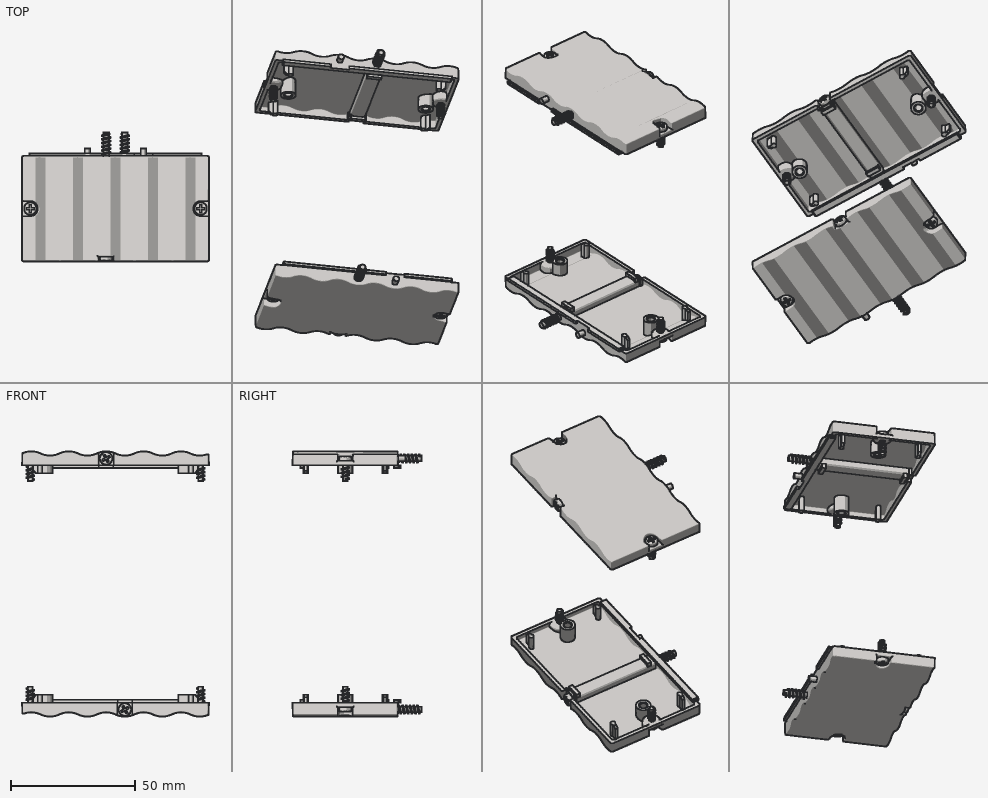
import cadquery as cq
total_height = 107.0
cover_width = 75.4
cover_depth = 42.7
cover_height = 5.7
rim_level = total_height / 2 - cover_height
mid_depth = cover_depth / 2

wave_count = 10
wave_half = cover_width / wave_count
wave_sag = 0.9
wall = 1.6
skin = 2.0
draft_angle = 1.5
corner_radius = 0.9
edge_round = 0.5
floor_round = 0.3
edge_search = 0.3

tongue_width = 69.4
tongue_height = 1.2
tongue_front = 40.9
tongue_back = 43.7
tongue_chamfer = 0.4

peg_x = 1.5 * wave_half
peg_diameter = 2.4
peg_tip = 45.7

head_diameter = 5.0
head_height = 1.7
head_round = 0.6
cross_span = 3.2
cross_arm = 0.7
cross_depth = 1.0
side_core = 2.0
side_thread = 3.2
long_core = 2.4
long_thread = 3.5
thread_pitch = 1.5
thread_base = 0.6
thread_crest = 0.2
thread_sink = 0.1
side_tip = -6.4
long_tip = 52.1

seat_width = 6.0
seat_wall = 0.7
side_screw_x = 34.3
side_seat_floor = 1.9
side_seat_round = 1.3
long_screw_x = -wave_half / 2
long_screw_z = 2.8
long_seat_depth = 2.0
long_cross_turn = 30.0

standoff_height = 3.2
boss_x = 28.2
boss_diameter = 6.0
boss_hole = 3.0
boss_hole_chamfer = 0.3
boss_hole_bottom = 2.7
pin_x = 30.5
pin_spacing = 32.0
pin_diameter = 2.0
rib_end_x = 33.2
rib_thickness = 1.2
rib_chamfer = 1.1
ridge_width = 6.2
ridge_round = 1.5
ridge_level = 0.0
block_width = 5.8
block_depth = 1.7
block_front = 3.2
block_rear = 39.0


def block(x_low, x_high, y_low, y_high, z_low, z_high):
    """Box given by its limits along each axis."""
    size = cq.Workplane("XY").box(x_high - x_low, y_high - y_low, z_high - z_low, centered=False)
    return size.translate((x_low, y_low, z_low))


def wave_prism(inset, bottom):
    """Solid under the wavy top, lowered by inset, running the whole depth down to the bottom."""
    inflection = cover_height - wave_sag - inset
    half = cover_width / 2
    profile = cq.Workplane("XZ").moveTo(-half, bottom).lineTo(-half, inflection)
    for index in range(wave_count):
        start = -half + index * wave_half
        sag = wave_sag if index % 2 == 0 else -wave_sag
        profile = profile.threePointArc(
            (start + wave_half / 2, inflection + sag), (start + wave_half, inflection)
        )
    return profile.lineTo(half, bottom).close().extrude(-cover_depth)


def drafted_block(inset):
    """Round-cornered block that narrows away from the rim, inset from the outer walls."""
    return (
        cq.Workplane("XY")
        .center(0, mid_depth)
        .sketch()
        .rect(cover_width - 2 * inset, cover_depth - 2 * inset)
        .vertices()
        .fillet(corner_radius)
        .finalize()
        .extrude(2 * cover_height, taper=draft_angle)
    )


def side_slot(side, radius, z_low, z_high):
    """U-shaped prism around a side screw, open towards the side wall."""
    x = side * side_screw_x
    outside = side * cover_width
    arc = cq.Workplane("XY").center(x, mid_depth).circle(radius).extrude(z_high - z_low)
    mouth = block(
        min(x, outside), max(x, outside), mid_depth - radius, mid_depth + radius, 0, z_high - z_low
    )
    return arc.union(mouth).translate((0, 0, z_low))


def wave_border(shape):
    """Edges that bound the wavy face as a whole, without the lines between its arcs."""
    waves = [
        face for face in shape.faces("%CYLINDER").vals()
        if face.BoundingBox().ylen > mid_depth
    ]
    edges = [edge for face in waves for edge in face.Edges()]
    return [edge for edge in edges if sum(edge.isSame(other) for other in edges) == 1]


def edges_in(shape, low, high):
    """Edges whose middle lies between two opposite corners of a box."""
    return shape.edges(cq.selectors.BoxSelector(low, high)).vals()


def outer_shape():
    """Solid cover envelope with the screw seats cut in and its outer edges rounded."""
    shape = wave_prism(0, 0).intersect(drafted_block(0))
    for side in (-1, 1):
        shape = shape.cut(side_slot(side, seat_width / 2, side_seat_floor, 2 * cover_height))
    shape = shape.cut(block(
        long_screw_x - seat_width / 2, long_screw_x + seat_width / 2,
        -1.1, long_seat_depth, -1.1, 2 * cover_height,
    ))
    reach = seat_width / 2 + edge_search
    mouth_edges = []
    for side in (-1, 1):
        x = side * cover_width / 2
        mouth_edges += edges_in(
            shape, (x - edge_search, mid_depth - reach, side_seat_floor - edge_search),
            (x + edge_search, mid_depth + reach, cover_height),
        )
    mouth_edges += edges_in(
        shape, (long_screw_x - reach, -edge_search, edge_search),
        (long_screw_x + reach, edge_search, cover_height),
    )
    return shape.newObject(wave_border(shape) + mouth_edges).fillet(edge_round)


def cavity():
    """Hollow inside the cover, left solid around the screw seats."""
    hollow = wave_prism(skin, -1.1).intersect(drafted_block(wall))
    hollow = hollow.newObject(wave_border(hollow)).fillet(floor_round)
    seat_radius = seat_width / 2 + seat_wall
    for side in (-1, 1):
        seat = side_slot(side, seat_radius, 0, cover_height).edges("<Z").fillet(side_seat_round)
        hollow = hollow.cut(seat)
    return hollow.cut(block(
        long_screw_x - seat_radius, long_screw_x + seat_radius,
        0, long_seat_depth + seat_wall, 0, cover_height,
    ))


def bosses():
    """Round bosses beside the two side screws."""
    shape = cq.Workplane("XY").pushPoints([(-boss_x, mid_depth), (boss_x, mid_depth)])
    return shape.circle(boss_diameter / 2).extrude(cover_height + standoff_height).translate(
        (0, 0, -standoff_height)
    )


def boss_holes():
    """Blind holes in the bosses, with a chamfered mouth."""
    mouth = boss_hole / 2 + boss_hole_chamfer
    profile = cq.Workplane("XZ").polyline([
        (0, -standoff_height),
        (mouth, -standoff_height),
        (boss_hole / 2, boss_hole_chamfer - standoff_height),
        (boss_hole / 2, boss_hole_bottom),
        (0, boss_hole_bottom),
    ])
    hole = profile.close().revolve(360, (0, 0, 0), (0, 1, 0))
    left = hole.translate((-boss_x, mid_depth, 0))
    return left.add(hole.translate((boss_x, mid_depth, 0))).combine()


def corner_pin(side, y):
    """Round pin with a rib towards the side wall; the rib has a chamfered outer end."""
    height = cover_height + standoff_height
    pin = cq.Workplane("XY").center(side * pin_x, y).circle(pin_diameter / 2).extrude(height)
    rib_length = rib_end_x - pin_x
    rib = block(0, rib_length, -rib_thickness / 2, rib_thickness / 2, 0, height)
    rib = rib.edges("<Z and >X").chamfer(rib_chamfer)
    if side < 0:
        rib = rib.mirror("YZ")
    return pin.union(rib.translate((side * pin_x, y, 0))).translate((0, 0, -standoff_height))


def screw_ridge():
    """Ridge that encloses the long screw from front to rear."""
    ridge = block(
        long_screw_x - ridge_width / 2, long_screw_x + ridge_width / 2,
        long_seat_depth, cover_depth - wall / 2, ridge_level, cover_height,
    )
    return ridge.edges("|Y and <Z").fillet(ridge_round)


def ridge_blocks():
    """Blocks across both ends of the ridge, standing past the rim."""
    low = long_screw_x - block_width / 2
    high = long_screw_x + block_width / 2
    shape = block(low, high, block_front, block_front + block_depth, -tongue_height, cover_height)
    return shape.union(
        block(low, high, block_rear - block_depth, block_rear, -tongue_height, cover_height)
    )


def tongue():
    """Strip on the rear rim, overhanging the wall except at the locating peg."""
    half = tongue_width / 2
    strip = block(-half, half, tongue_front, tongue_back, -tongue_height, 0)
    strip = strip.edges("|Y and <Z").chamfer(tongue_chamfer)
    gap = block(wave_half, 2 * wave_half, cover_depth, tongue_back, -tongue_height, 0)
    return strip.cut(gap)


def rear_peg():
    """Round peg standing out of the rear wall."""
    peg = cq.Workplane("XZ").center(peg_x, long_screw_z).circle(peg_diameter / 2)
    return peg.extrude(-(peg_tip - cover_depth + wall)).translate((0, cover_depth - wall, 0))


def make_cover():
    """Cover with its rim in the plane Z = 0 and its wavy face upwards."""
    inside = bosses().union(screw_ridge()).union(ridge_blocks())
    for side in (-1, 1):
        for y in (mid_depth - pin_spacing / 2, mid_depth + pin_spacing / 2):
            inside = inside.union(corner_pin(side, y))
    inside = inside.intersect(wave_prism(skin / 2, -2 * standoff_height))

    cover = outer_shape().cut(cavity()).union(inside).union(tongue()).union(rear_peg())
    cover = cover.cut(boss_holes())

    side_holes = cq.Workplane("XY").pushPoints([(-side_screw_x, mid_depth), (side_screw_x, mid_depth)])
    cover = cover.cut(side_holes.circle(side_core / 2).extrude(side_seat_floor))

    long_hole = cq.Workplane("XZ").center(long_screw_x, long_screw_z).circle(long_core / 2)
    return cover.cut(long_hole.extrude(-cover_depth))


def make_screw(core_diameter, thread_diameter, shank, length):
    """Cross-head screw pointing down from Z = 0: plain shank, then thread to the tip."""
    head = cq.Workplane("XY").circle(head_diameter / 2).extrude(head_height)
    head = head.edges(">Z").fillet(head_round)
    cross = cq.Workplane("XY").rect(cross_span, cross_arm).extrude(cross_depth)
    cross = cross.union(cq.Workplane("XY").rect(cross_arm, cross_span).extrude(cross_depth))
    head = head.cut(cross.translate((0, 0, head_height - cross_depth)))
    core = cq.Workplane("XY").circle(core_diameter / 2).extrude(-length)

    root = core_diameter / 2 - thread_sink
    climb = length - shank - thread_base - thread_pitch / 4
    helix = cq.Wire.makeHelix(thread_pitch, climb, root)
    thread = (
        cq.Workplane("XZ")
        .polyline([
            (root, -thread_base / 2),
            (thread_diameter / 2, -thread_crest / 2),
            (thread_diameter / 2, thread_crest / 2),
            (root, thread_base / 2),
        ])
        .close()
        .sweep(cq.Workplane(helix), isFrenet=True)
        .translate((0, 0, -shank - thread_base / 2 - climb))
    )
    return head.union(core).union(thread)


def cover_set():
    """One cover and its three screws, placed as the upper half of the assembly."""
    side_screw = make_screw(side_core, side_thread, side_seat_floor, side_seat_floor - side_tip)
    long_screw = make_screw(
        long_core, long_thread, cover_depth - long_seat_depth, long_tip - long_seat_depth
    )
    long_screw = long_screw.rotate((0, 0, 0), (0, 0, 1), long_cross_turn)
    parts = [make_cover()]
    for side in (-1, 1):
        parts.append(side_screw.translate((side * side_screw_x, mid_depth, side_seat_floor)))
    lying = long_screw.rotate((0, 0, 0), (1, 0, 0), 90)
    parts.append(lying.translate((long_screw_x, long_seat_depth, long_screw_z)))
    return [part.translate((0, 0, rim_level)) for part in parts]


upper = cover_set()
lower = [part.rotate((0, 0, 0), (0, 1, 0), 180) for part in upper]
result = cq.Compound.makeCompound([part.val() for part in upper + lower])